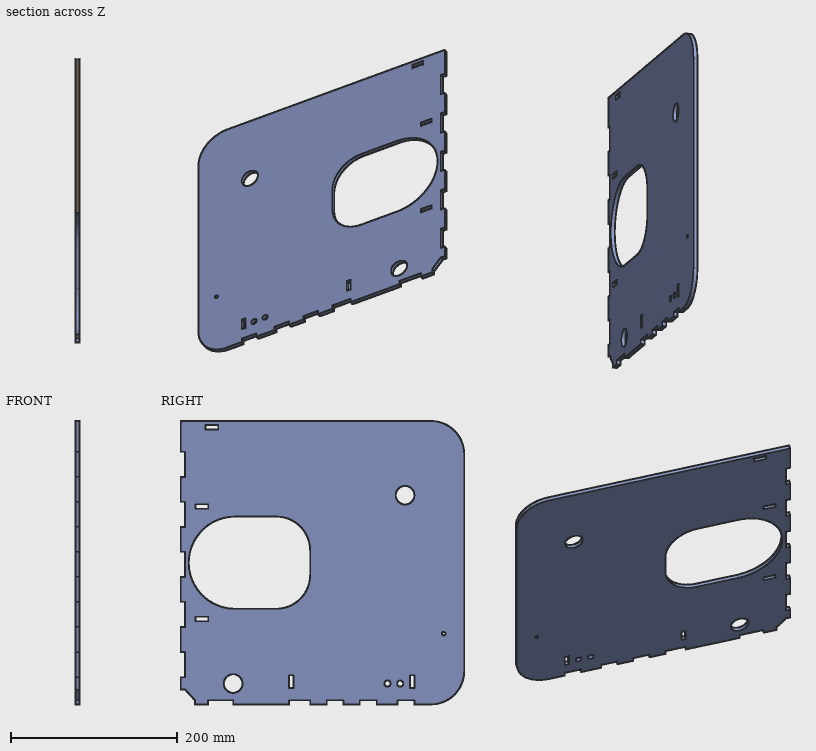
import cadquery as cq

side = 340.0
thickness = 5.0
rear_corner_radius = 40.0

notch_depth = thickness
front_notches_start = 33.0
front_notches_span = 270.0
front_notch_count = 5
bottom_notches = [(33.0, 63.0), (130.0, 155.0), (175.2, 195.2), (215.0, 235.0), (260.2, 280.3)]

corner_cut_y = 17.0
corner_cut_z = 18.0

window_front = 10.0
window_rear = 155.0
window_height = 110.2
window_corner_radius = 40.0

slot_length = 15.0
slot_width = thickness
slot_offset_from_middle = 65.0
horizontal_slots = [
    (30.0, 330.0),
    (18.0, side / 2 + slot_offset_from_middle),
    (18.0, side / 2 - slot_offset_from_middle - slot_width),
]
upright_slot_z = 20.0
upright_slots = [(130.0, upright_slot_z), (275.2, upright_slot_z)]

low_hole_z = 25.2
large_hole_diameter = 22.0
large_holes = [(63.0, low_hole_z), (269.0, 251.0)]
medium_hole_diameter = 7.0
medium_holes = [(248.0, low_hole_z), (263.3, low_hole_z)]
pin_hole_diameter = 4.0
pin_holes = [(315.3, 85.0)]


def rectangle(y, z, length_y, length_z):
    """Block through the panel with its lower front corner at (y, z)."""
    return cq.Workplane("YZ").center(y, z).rect(length_y, length_z, centered=False).extrude(thickness)


def panel_blank():
    blank = rectangle(0, 0, side, side)
    return blank.edges("|X and >Y").fillet(rear_corner_radius)


def cut_edge_notches(panel):
    pitch = front_notches_span / (2 * front_notch_count - 1)
    for index in range(front_notch_count):
        z = front_notches_start + 2 * index * pitch
        panel = panel.cut(rectangle(0, z, notch_depth, pitch))
    for start, end in bottom_notches:
        panel = panel.cut(rectangle(start, 0, end - start, notch_depth))
    return panel


def corner_cut():
    outline = [
        (0, 0),
        (corner_cut_y, 0),
        (corner_cut_y, notch_depth),
        (notch_depth, corner_cut_z),
        (0, corner_cut_z),
    ]
    return cq.Workplane("YZ").polyline(outline).close().extrude(thickness)


def window():
    middle = side / 2
    half_height = window_height / 2
    arc_centre_y = window_front + half_height
    opening = (
        cq.Workplane("YZ")
        .moveTo(arc_centre_y, middle - half_height)
        .lineTo(window_rear, middle - half_height)
        .lineTo(window_rear, middle + half_height)
        .lineTo(arc_centre_y, middle + half_height)
        .threePointArc((window_front, middle), (arc_centre_y, middle - half_height))
        .close()
        .extrude(thickness)
    )
    return opening.edges("|X and >Y").fillet(window_corner_radius)


def cut_slots(panel):
    for y, z in horizontal_slots:
        panel = panel.cut(rectangle(y, z, slot_length, slot_width))
    for y, z in upright_slots:
        panel = panel.cut(rectangle(y, z, slot_width, slot_length))
    return panel


def round_holes(diameter, centres):
    return cq.Workplane("YZ").pushPoints(centres).circle(diameter / 2).extrude(thickness)


result = cut_edge_notches(panel_blank())
result = result.cut(corner_cut())
result = result.cut(window())
result = cut_slots(result)
result = result.cut(round_holes(large_hole_diameter, large_holes))
result = result.cut(round_holes(medium_hole_diameter, medium_holes))
result = result.cut(round_holes(pin_hole_diameter, pin_holes))